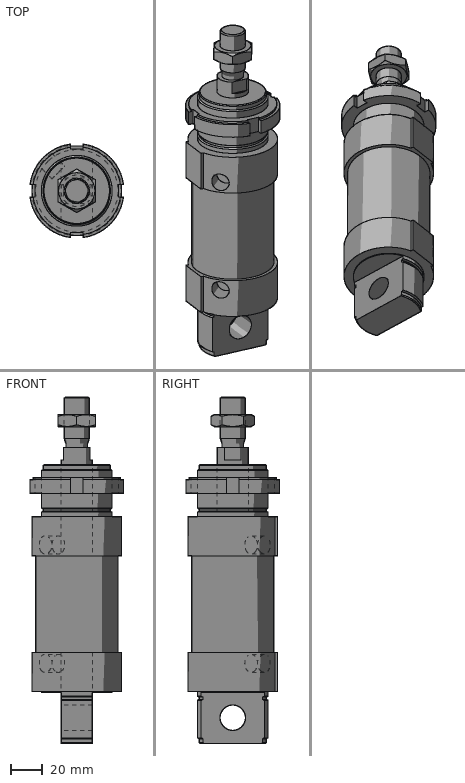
import cadquery as cq
import math

thread_length = 33.0
cap_length = 25.0
tube_length = 61.2
rod_collar_length = 11.0
rod_thread_length = 32.0

rear_cap_bottom = thread_length
rear_cap_top = rear_cap_bottom + cap_length
front_cap_bottom = rear_cap_top + tube_length
front_cap_top = front_cap_bottom + cap_length
housing_top = front_cap_top + thread_length
rod_shoulder = housing_top + rod_collar_length
rod_top = rod_shoulder + rod_thread_length

cap_radius = 57.0 / 2
cap_pad_width = 20.0
tube_radius = 52.4 / 2
thread_radius = 45.0 / 2
relief_radius = 42.8 / 2
relief_slope_angle = 30.0
relief_slope = (thread_radius - relief_radius) * math.tan(math.radians(relief_slope_angle))
groove_start = 2.8
groove_end = 5.5
end_band_length = 3.1
end_chamfer = 0.65

tongue_thickness = 20.0
pivot_diameter = 16.0
pivot_height = 16.5
rear_rim_length = 0.6

port_diameter = 11.45
port_depth = 12.0
port_angle = 135.0
port_inset = 7.0

rod_radius = 20.0 / 2
rod_thread_radius = 16.0 / 2
rod_neck_radius = 13.9 / 2
rod_tip_radius = 14.38 / 2
rod_tip_chamfer = rod_thread_radius - rod_tip_radius
rod_neck_length = 2.4
rod_neck_taper_end = 5.6
wrench_flat_width = 17.0
wrench_flat_length = 8.0

hex_width = 24.0
hex_height = 8.0
hex_setback = 19.0
hex_bottom = rod_top - hex_setback
hex_chamfer_radius = 23.0 / 2
hex_chamfer_angle = 30.0

ring_radius = 60.0 / 2
ring_height = 10.0
ring_clearance = 14.7
ring_bottom = front_cap_top + ring_clearance
ring_land_radius = 28.0
ring_land_height = 1.2
ring_slot_count = 4
ring_slot_width = 8.0
ring_slot_floor = 26.5


def disc(radius, bottom, top):
    """Solid cylinder on the Z axis between two heights."""
    return cq.Workplane("XY").workplane(offset=bottom).circle(radius).extrude(top - bottom)


def revolve_profile(points):
    """Turn a closed (radius, z) outline about the Z axis."""
    return cq.Workplane("XZ").polyline(points).close().revolve(360, (0, 0, 0), (0, 1, 0))


def threaded_spigot(face, direction):
    """Spigot leaving a cap face along +Z (direction 1) or -Z (direction -1)."""
    outline = [
        (0, 0),
        (thread_radius, 0),
        (thread_radius, groove_start),
        (relief_radius, groove_start + relief_slope),
        (relief_radius, groove_end - relief_slope),
        (thread_radius, groove_end),
        (thread_radius, thread_length - end_band_length - relief_slope),
        (relief_radius, thread_length - end_band_length),
        (relief_radius, thread_length - end_chamfer),
        (relief_radius - end_chamfer, thread_length),
        (0, thread_length),
    ]
    return revolve_profile([(radius, face + direction * height) for radius, height in outline])


def rear_tongue():
    """Rear spigot milled down to a flat tongue with a cross hole for the pivot pin."""
    spigot = threaded_spigot(rear_cap_bottom, -1)
    slab = cq.Workplane("XY").box(
        tongue_thickness, 2 * cap_radius, rear_cap_bottom, centered=(True, True, False)
    )
    rim = disc(thread_radius, rear_cap_bottom - rear_rim_length, rear_cap_bottom)
    pivot = (
        cq.Workplane("YZ")
        .center(0, pivot_height)
        .circle(pivot_diameter / 2)
        .extrude(tongue_thickness, both=True)
    )
    return spigot.intersect(slab).union(rim).cut(pivot)


def port(height):
    """Blind radial bore for an air port."""
    return (
        cq.Workplane("YZ")
        .circle(port_diameter / 2)
        .extrude(port_depth)
        .translate((cap_radius - port_depth, 0, height))
        .rotate((0, 0, 0), (0, 0, 1), port_angle)
    )


def end_cap(bottom):
    """Round cap with a flat-faced pad on its +Y side."""
    pad = cq.Workplane("XY").box(
        cap_pad_width, cap_radius, cap_length, centered=(True, False, False)
    )
    return disc(cap_radius, bottom, bottom + cap_length).union(pad.translate((0, 0, bottom)))


def make_housing():
    body = end_cap(rear_cap_bottom)
    body = body.union(disc(tube_radius, rear_cap_top, front_cap_bottom))
    body = body.union(end_cap(front_cap_bottom))
    body = body.union(threaded_spigot(front_cap_top, 1))
    body = body.union(rear_tongue())
    for height in (rear_cap_top - port_inset, front_cap_bottom + port_inset):
        body = body.cut(port(height))
    rod_bore = disc(rod_radius, front_cap_top, housing_top)
    return body.cut(rod_bore)


def make_rod():
    rod = revolve_profile([
        (0, front_cap_top),
        (rod_radius, front_cap_top),
        (rod_radius, rod_shoulder),
        (rod_neck_radius, rod_shoulder),
        (rod_neck_radius, rod_shoulder + rod_neck_length),
        (rod_thread_radius, rod_shoulder + rod_neck_taper_end),
        (rod_thread_radius, rod_top - rod_tip_chamfer),
        (rod_tip_radius, rod_top),
        (0, rod_top),
    ])
    for side in (-1, 1):
        flat = cq.Workplane("XY").box(
            rod_radius, 2 * rod_radius, wrench_flat_length, centered=(True, True, False)
        )
        offset = side * (wrench_flat_width + rod_radius) / 2
        rod = rod.cut(flat.translate((offset, 0, rod_shoulder - wrench_flat_length)))
    return rod


def make_hex_nut():
    corner_radius = hex_width / math.sqrt(3)
    blank = (
        cq.Workplane("XY")
        .workplane(offset=hex_bottom)
        .polygon(6, 2 * corner_radius)
        .extrude(hex_height)
        .rotate((0, 0, 0), (0, 0, 1), 30)
    )
    chamfer_height = (corner_radius - hex_chamfer_radius) * math.tan(math.radians(hex_chamfer_angle))
    hex_top = hex_bottom + hex_height
    envelope = revolve_profile([
        (0, hex_bottom),
        (hex_chamfer_radius, hex_bottom),
        (corner_radius, hex_bottom + chamfer_height),
        (corner_radius, hex_top - chamfer_height),
        (hex_chamfer_radius, hex_top),
        (0, hex_top),
    ])
    return blank.intersect(envelope).cut(disc(rod_thread_radius, hex_bottom, hex_top))


def make_mounting_nut():
    ring_top = ring_bottom + ring_height
    ring = revolve_profile([
        (thread_radius, ring_bottom),
        (ring_radius, ring_bottom),
        (ring_radius, ring_top - ring_land_height),
        (ring_land_radius, ring_top - ring_land_height),
        (ring_land_radius, ring_top),
        (thread_radius, ring_top),
    ])
    for index in range(ring_slot_count):
        angle = index * 360 / ring_slot_count
        slot = cq.Workplane("XY").box(
            ring_radius, ring_slot_width, ring_height, centered=(False, True, False)
        )
        slot = slot.translate((ring_slot_floor, 0, ring_bottom))
        ring = ring.cut(slot.rotate((0, 0, 0), (0, 0, 1), angle))
    return ring


housing = make_housing()
rod = make_rod()
hex_nut = make_hex_nut()
mounting_nut = make_mounting_nut()

result = cq.Compound.makeCompound([
    housing.val(),
    rod.val(),
    hex_nut.val(),
    mounting_nut.val(),
])